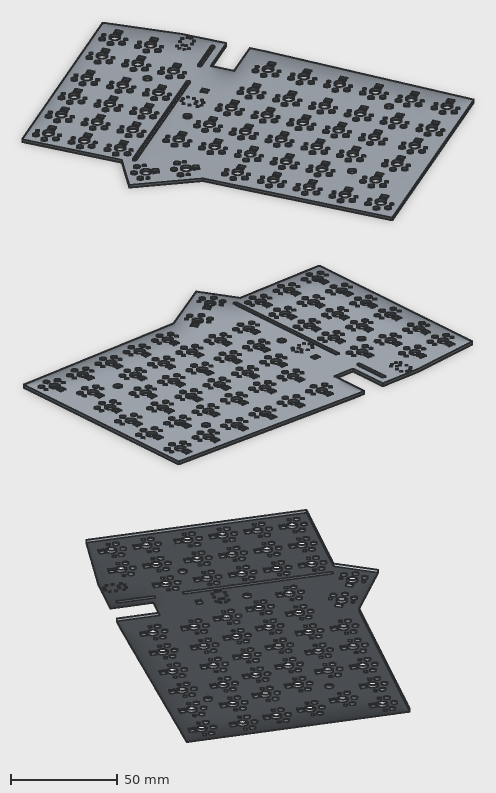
import cadquery as cq
import math


LENGTH = 187.0
WIDTH = 130.3
THICKNESS = 1.6
SHOULDER_DROP = 4.1
LEFT_SLOPE_END = 38.1
RIGHT_SLOPE_START = 79.5
NOTCH_LEFT = 60.8
NOTCH_RIGHT = 72.5
NOTCH_DEPTH = 21.0
LEFT_BOTTOM_Y = 18.9
RIGHT_BOTTOM_Y = 17.5
TIP_X = 61.1
THUMB_ANGLE = -60.0

FIRST_COLUMN_X = 9.7
BOTTOM_ROW_Y = 28.5
RIGHT_BLOCK_SPAN = 90.1
COLUMN_PITCH = RIGHT_BLOCK_SPAN / 5
ROW_PITCH = 17.0
ROW_SPLIT_GAP = 3.0
LEFT_SPLIT_ROW = 4
RIGHT_SPLIT_ROW = 5
RIGHT_BLOCK_X = 87.0

LEFT_ROWS = [[0, 1, 2]] * 5 + [[0, 1]]
RIGHT_ROWS = [
    [1, 2, 3, 4, 5],
    [-1, 0, 1, 2, 3, 4.5],
    [-0.5, 0.5, 1.5, 2.5, 3.5, 4.75],
    [-0.25, 0.75, 1.75, 2.75, 3.75, 4.875],
    [0, 1, 2, 3, 4, 5],
    [0, 1, 2, 3, 4, 5],
]

THUMB_KEYS = [(64.5, 13.5), (81.2, 23.0)]

STEM_DIAMETER = 5.2
PEG_DIAMETER = 1.8
PEG_SPACING = 11.0
PIN_DIAMETER = 3.0
CENTER_PIN_DROP = 5.8
SIDE_PIN_SPACING = 10.1
SIDE_PIN_DROP = 3.5
LAMP_LENGTH = 3.4
LAMP_WIDTH = 2.8
LAMP_OFFSET = 4.7

MOUNT_DIAMETER = 4.1
MOUNT_PLACES = [(36.7, 88.8), (65.8, 65.0), (151.7, 106.5), (155.0, 48.5)]
SINGLE_LAMP = (65.6, 88.5)

SLOT_X = 55.7
SLOT_WIDTH = 1.9
SLOT_SPANS = [(20.5, 93.7), (107.2, 126.2)]

JACK_HOLE_DIAMETER = 1.2
JACK_PAIRS = [(0.0, 1.0), (1.7, 3.0), (4.7, 3.0), (7.0, 1.0), (8.8, 3.0), (10.1, 1.25)]
JACKS = [(58.5, 77.5, 0.0), (42.8, 128.5, -90.0)]


def turned(point, center, angle):
    """Turn a point by an angle in degrees, then move it from the origin to a center."""
    a = math.radians(angle)
    x, y = point
    return (
        center[0] + x * math.cos(a) - y * math.sin(a),
        center[1] + x * math.sin(a) + y * math.cos(a),
    )


def outline_points():
    """Corners of the plate, counterclockwise from the lower left one."""
    shoulder_y = WIDTH - SHOULDER_DROP
    notch_y = WIDTH - NOTCH_DEPTH
    slope = math.tan(math.radians(-THUMB_ANGLE))
    return [
        (0, LEFT_BOTTOM_Y),
        (TIP_X - LEFT_BOTTOM_Y / slope, LEFT_BOTTOM_Y),
        (TIP_X, 0),
        (TIP_X + RIGHT_BOTTOM_Y * slope, RIGHT_BOTTOM_Y),
        (LENGTH, RIGHT_BOTTOM_Y),
        (LENGTH, shoulder_y),
        (RIGHT_SLOPE_START, WIDTH),
        (NOTCH_RIGHT, WIDTH),
        (NOTCH_RIGHT, notch_y),
        (NOTCH_LEFT, notch_y),
        (NOTCH_LEFT, WIDTH),
        (LEFT_SLOPE_END, WIDTH),
        (0, shoulder_y),
    ]


def grid_keys(rows, first_x, split_row):
    """Centres of the upright keys of one half."""
    centers = []
    for row, columns in enumerate(rows):
        y = BOTTOM_ROW_Y + row * ROW_PITCH
        if row >= split_row:
            y += ROW_SPLIT_GAP
        centers += [(first_x + column * COLUMN_PITCH, y) for column in columns]
    return centers


def through_holes(points, diameter):
    """Round cutters as tall as the plate."""
    return cq.Workplane("XY").pushPoints(points).circle(diameter / 2).extrude(THICKNESS)


def lamp_windows(points):
    """Rectangular cutters for the lamps of upright keys."""
    return cq.Workplane("XY").pushPoints(points).rect(LAMP_LENGTH, LAMP_WIDTH).extrude(THICKNESS)


def switch_cutters(centers, angle):
    """All cutters of the key switches that share one turn."""
    layout = [
        (STEM_DIAMETER, [(0, 0)]),
        (PEG_DIAMETER, [(-PEG_SPACING / 2, 0), (PEG_SPACING / 2, 0)]),
        (PIN_DIAMETER, [
            (0, -CENTER_PIN_DROP),
            (-SIDE_PIN_SPACING / 2, -SIDE_PIN_DROP),
            (SIDE_PIN_SPACING / 2, -SIDE_PIN_DROP),
        ]),
    ]
    cutters = []
    for diameter, spots in layout:
        points = [turned(spot, center, angle) for center in centers for spot in spots]
        cutters.append(through_holes(points, diameter))
    windows = [turned(center, (0, LAMP_OFFSET), -angle) for center in centers]
    cutters.append(lamp_windows(windows).rotate((0, 0, 0), (0, 0, 1), angle))
    return cutters


def slot_cutters():
    """Round-ended slots along Y."""
    cutters = []
    for bottom, top in SLOT_SPANS:
        slot = cq.Workplane("XY").center(SLOT_X, (bottom + top) / 2)
        cutters.append(slot.slot2D(top - bottom, SLOT_WIDTH, 90).extrude(THICKNESS))
    return cutters


def jack_cutter():
    """Solder holes of all jacks."""
    points = []
    for x, y, angle in JACKS:
        for along, half_spacing in JACK_PAIRS:
            for side in (-half_spacing, half_spacing):
                points.append(turned((along, side), (x, y), angle))
    return through_holes(points, JACK_HOLE_DIAMETER)


upright_keys = grid_keys(LEFT_ROWS, FIRST_COLUMN_X, LEFT_SPLIT_ROW)
upright_keys += grid_keys(RIGHT_ROWS, RIGHT_BLOCK_X, RIGHT_SPLIT_ROW)

cutters = switch_cutters(upright_keys, 0)
cutters += switch_cutters(THUMB_KEYS, THUMB_ANGLE)
cutters += slot_cutters()
cutters.append(through_holes(MOUNT_PLACES, MOUNT_DIAMETER))
cutters.append(lamp_windows([SINGLE_LAMP]))
cutters.append(jack_cutter())

result = cq.Workplane("XY").polyline(outline_points()).close().extrude(THICKNESS)
for cutter in cutters:
    result = result.cut(cutter)